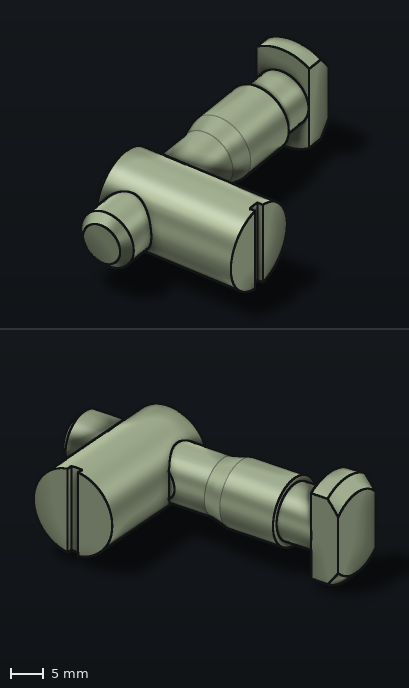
import cadquery as cq
import math


barrel_diameter = 14.8
barrel_length = 26.3
barrel_closed_end = -6.3
barrel_chamfer = 1.0
slot_width = 2.0
slot_depth = 1.0
barrel_open_end = barrel_closed_end + barrel_length

bolt_length = 52.7
tip_end = -13.5
tip_chamfer = 1.5
rod_diameter = 10.0
collar_diameter = 11.7
collar_length = 10.0
taper_length = 3.5
neck_diameter = 9.75
neck_length = 6.55
head_diameter = 18.0
head_width = rod_diameter
head_thickness = 5.1
head_chamfer = 2.0
seat_cone_angle = 120.0
seat_offset = 1.0
seat_mouth_radius = 7.45

head_top = tip_end + bolt_length
head_bottom = head_top - head_thickness
collar_end = head_bottom - neck_length
collar_start = collar_end - collar_length
taper_start = collar_start - taper_length


def make_barrel():
    """Cross barrel, chamfered at one end, slotted at the other, with a hole for the bolt."""
    radius = barrel_diameter / 2
    body = (
        cq.Workplane("YZ", origin=(barrel_closed_end, 0, 0))
        .circle(radius)
        .extrude(barrel_length)
        .faces("<X")
        .chamfer(barrel_chamfer)
    )
    slot = cq.Workplane("XY").box(2 * slot_depth, slot_width, barrel_diameter)
    bolt_hole = cq.Workplane("XZ").circle(rod_diameter / 2).extrude(radius, both=True)
    return body.cut(slot.translate((barrel_open_end, 0, 0))).cut(bolt_hole)


def make_shank():
    """Round shank of the bolt: chamfered rod, tapered collar and neck."""
    rod_radius = rod_diameter / 2
    collar_radius = collar_diameter / 2
    neck_radius = neck_diameter / 2
    return (
        cq.Workplane("XY")
        .moveTo(0, tip_end)
        .lineTo(rod_radius - tip_chamfer, tip_end)
        .lineTo(rod_radius, tip_end + tip_chamfer)
        .lineTo(rod_radius, taper_start)
        .lineTo(collar_radius, collar_start)
        .lineTo(collar_radius, collar_end)
        .lineTo(neck_radius, collar_end)
        .lineTo(neck_radius, head_bottom)
        .lineTo(0, head_bottom)
        .close()
        .revolve(360, (0, 0, 0), (0, 1, 0))
    )


def make_head():
    """Hammer head: a chamfered disc trimmed by two parallel flats."""
    disc = (
        cq.Workplane("XZ", origin=(0, head_bottom, 0))
        .circle(head_diameter / 2)
        .extrude(-head_thickness)
        .faces(">Y")
        .chamfer(head_chamfer)
    )
    flats = cq.Workplane("XY").box(head_width, 2 * head_thickness, head_diameter)
    return disc.intersect(flats.translate((0, head_bottom + head_thickness / 2, 0)))


def make_seat():
    """Cone along X, set off towards the head, that notches the +X side of the rod."""
    mouth_x = rod_diameter / 2
    apex_x = mouth_x - seat_mouth_radius / math.tan(math.radians(seat_cone_angle / 2))
    cone = (
        cq.Workplane("XY")
        .polyline([(apex_x, 0), (mouth_x, 0), (mouth_x, seat_mouth_radius)])
        .close()
        .revolve(360, (0, 0, 0), (1, 0, 0))
    )
    return cone.translate((0, seat_offset, 0))


barrel = make_barrel()
bolt = make_shank().union(make_head()).cut(make_seat())

result = cq.Compound.makeCompound([barrel.val(), bolt.val()])